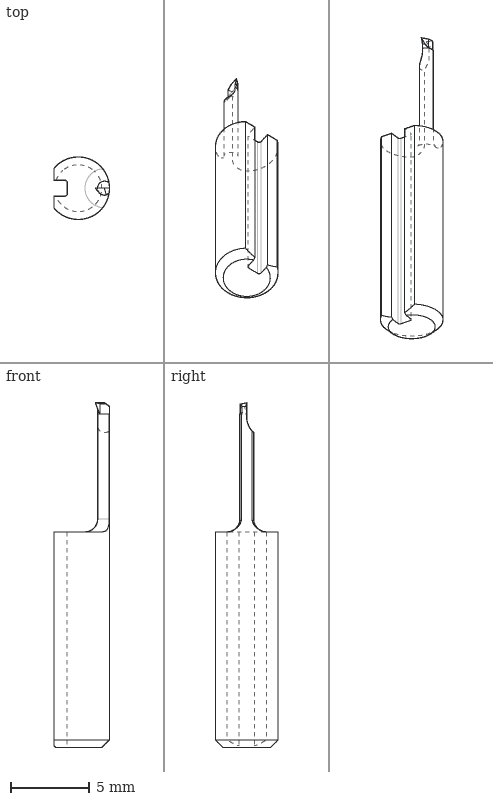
import cadquery as cq
import math

shank_radius = 2.0
shank_length = 13.77
flat_x = -1.55
bottom_chamfer = 0.5
slot_width = 1.0
slot_floor_x = -0.7
slot_corner_radius = 0.15

total_length = 22.0
neck_radius = 0.45
neck_x = 1.68
neck_front_x = neck_x - neck_radius
flare_radius = 0.8
flare_top_z = shank_length + flare_radius

relief_radius = 1.36
relief_end_z = 21.1
tip_base_z = 21.27
tip_radius = 0.43
slope_start_x = 1.67
slope_drop = 0.24
end_clearance_drop = 0.09
hook_x = 1.09
hook_root_z = 21.6
hook_depth = 0.345
hook_flank_x = 1.38


def make_shank():
    shank = cq.Workplane("XY").circle(shank_radius).extrude(shank_length)
    shank = shank.faces("<Z").chamfer(bottom_chamfer)
    beside_flat = cq.Workplane("XY").box(
        2 * shank_radius, 2 * shank_radius, shank_length, centered=(False, True, False)
    )
    shank = shank.intersect(beside_flat.translate((flat_x, 0, 0)))
    slot = cq.Workplane("XY").box(
        shank_radius, slot_width, shank_length, centered=(False, True, False)
    )
    slot = slot.edges("|Z and >X").fillet(slot_corner_radius)
    return shank.cut(slot.translate((slot_floor_x - shank_radius, 0, 0)))


def shank_envelope():
    """Outside cylinder of the shank carried up to the tip."""
    return cq.Workplane("XY").circle(shank_radius).extrude(total_length)


def make_flare():
    base_radius = neck_radius + flare_radius
    flare = (
        cq.Workplane("XZ")
        .moveTo(0, shank_length)
        .lineTo(base_radius, shank_length)
        .radiusArc((neck_radius, flare_top_z), flare_radius)
        .lineTo(0, flare_top_z)
        .close()
        .revolve(360, (0, 0, 0), (0, 1, 0))
        .translate((neck_x, 0, 0))
    )
    return flare.intersect(shank_envelope())


def round_bar(radius, bottom_z, top_z):
    """Upright bar touching the front line of the neck, kept inside the outside of the shank."""
    centre_x = neck_front_x + radius
    bar = cq.Workplane("XY", origin=(centre_x, 0, bottom_z)).circle(radius).extrude(top_z - bottom_z)
    return bar.intersect(shank_envelope())


def make_neck():
    neck = round_bar(neck_radius, shank_length, tip_base_z)
    tip = round_bar(tip_radius, tip_base_z, total_length)
    return neck.union(tip)


def make_hook():
    """Cutting lip reaching past the neck towards -X, with its flank swept back from the rake face."""
    side = (
        cq.Workplane("XZ")
        .moveTo(neck_x, total_length)
        .lineTo(hook_x, total_length)
        .lineTo(neck_front_x, hook_root_z)
        .lineTo(hook_flank_x, tip_base_z)
        .lineTo(neck_x, tip_base_z)
        .close()
        .extrude(hook_depth)
    )
    plan = (
        cq.Workplane("XY")
        .moveTo(hook_x, 0)
        .lineTo(hook_flank_x, -hook_depth)
        .lineTo(neck_x, -hook_depth)
        .lineTo(neck_x, 0)
        .close()
        .extrude(total_length)
    )
    return side.intersect(plan)


def make_rake_cut():
    """Clears the +Y half of the tip and runs out through the neck along an arc."""
    runout_z = relief_end_z - math.sqrt(relief_radius**2 - (relief_radius - neck_radius) ** 2)
    return (
        cq.Workplane("YZ")
        .moveTo(0, total_length)
        .lineTo(0, relief_end_z)
        .radiusArc((neck_radius, runout_z), -relief_radius)
        .lineTo(neck_radius, total_length)
        .close()
        .extrude(shank_radius)
    )


def make_slope_cut():
    """Bevels the end face of the tip down towards its back."""
    return (
        cq.Workplane("XZ")
        .moveTo(slope_start_x, total_length)
        .lineTo(shank_radius, total_length - slope_drop)
        .lineTo(shank_radius, total_length)
        .close()
        .extrude(neck_radius, both=True)
    )


def make_end_clearance_cut():
    """Slopes the end face down from the rake face towards -Y."""
    return (
        cq.Workplane("YZ")
        .moveTo(0, total_length)
        .lineTo(-neck_radius, total_length - end_clearance_drop)
        .lineTo(-neck_radius, total_length)
        .close()
        .extrude(shank_radius)
    )


bar = make_neck().union(make_hook())
bar = bar.cut(make_rake_cut()).cut(make_slope_cut()).cut(make_end_clearance_cut())
result = make_shank().union(make_flare()).union(bar)